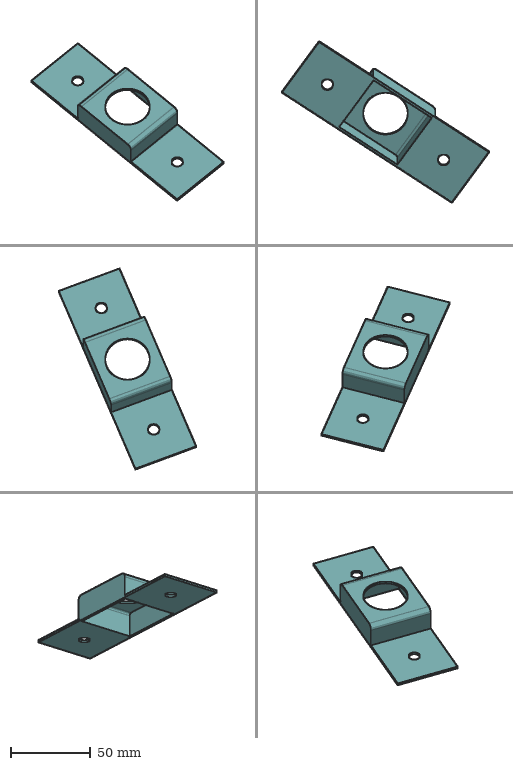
import cadquery as cq

wall = 1.5875
width = 41.275
flange_length = 41.275
box_length = 47.625
height = 17.4
bend_radius = 3.175
window_diameter = 27.94
mount_hole_diameter = 7.14

total_length = box_length + 2 * flange_length
mount_hole_x = (box_length + flange_length) / 2


def rounded_block(length, depth, block_height, radius):
    """Block on Z = 0 whose two top edges along Y are rounded."""
    block = cq.Workplane("XY").box(length, depth, block_height, centered=(True, True, False))
    return block.faces(">Z").edges("|Y").fillet(radius)


def vertical_cylinder(diameter, x):
    """Cutter for a round hole through the full height at the given X."""
    return cq.Workplane("XY").center(x, 0).circle(diameter / 2).extrude(height)


strip = cq.Workplane("XY").box(total_length, width, wall, centered=(True, True, False))
box = rounded_block(box_length, width, height, bend_radius)
result = strip.union(box)

cavity = rounded_block(
    box_length - 2 * wall,
    width - 2 * wall,
    height - wall,
    bend_radius - wall,
)
result = result.cut(cavity)

result = result.cut(vertical_cylinder(window_diameter, 0))

for side in (-1, 1):
    result = result.cut(vertical_cylinder(mount_hole_diameter, side * mount_hole_x))